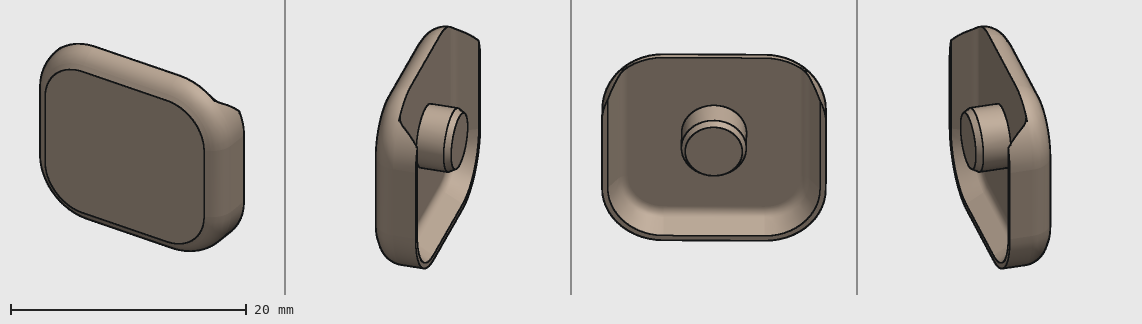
import cadquery as cq
import math

WIDTH = 19.0
HEIGHT = 17.0
CORNER_RADIUS = 5.2
CENTER_Z = -1.0
FRONT_DEPTH = 2.0
RIM_DEPTH = 2.0
EDGE_RADIUS = FRONT_DEPTH
EDGE_SWEEP = math.radians(60)

RIM_WIDTH = 0.5
WALL_SLOPE = 30.0
FLOOR_FILLET = 0.91

POST_DIAMETER = 5.51
POST_OVERHANG = 1.0
TIP_LENGTH = 0.57
POST_LENGTH = RIM_DEPTH + POST_OVERHANG
TIP_INSET = TIP_LENGTH * math.tan(math.radians(30))

HALF_WIDTH = WIDTH / 2
TOP_Z = CENTER_Z + HEIGHT / 2
BOTTOM_Z = CENTER_Z - HEIGHT / 2


def plane_at(y):
    """XZ sketch plane at the given Y, with extrusion toward -Y."""
    return cq.Workplane("XZ", origin=(0, y, 0))


def cap_outline(y, inset=0):
    """Rounded rectangle, starting beside the post axis on the +X side."""
    x = HALF_WIDTH - inset
    top = TOP_Z - inset
    bottom = BOTTOM_Z + inset
    radius = CORNER_RADIUS - inset
    bow = radius * (1 - math.sqrt(0.5))
    return (
        plane_at(y)
        .moveTo(x, 0)
        .lineTo(x, top - radius)
        .threePointArc((x - bow, top - bow), (x - radius, top))
        .lineTo(radius - x, top)
        .threePointArc((bow - x, top - bow), (-x, top - radius))
        .lineTo(-x, bottom + radius)
        .threePointArc((bow - x, bottom + bow), (radius - x, bottom))
        .lineTo(x - radius, bottom)
        .threePointArc((x - bow, bottom + bow), (x, bottom + radius))
        .close()
    )


def edge_point(angle):
    """X and Y on the rounding, turned by angle from the side of the cap."""
    x = HALF_WIDTH - EDGE_RADIUS * (1 - math.cos(angle))
    return x, -EDGE_RADIUS * math.sin(angle)


def make_front_edge():
    """Rounded edge with a straight strip to the front face, swept around the outline."""
    arc_end = edge_point(EDGE_SWEEP)
    strip_run = (FRONT_DEPTH + arc_end[1]) * math.tan(EDGE_SWEEP)
    inner_x = HALF_WIDTH - EDGE_RADIUS
    profile = (
        cq.Workplane("XY")
        .moveTo(inner_x, 0)
        .lineTo(HALF_WIDTH, 0)
        .threePointArc(edge_point(EDGE_SWEEP / 2), arc_end)
        .lineTo(arc_end[0] - strip_run, -FRONT_DEPTH)
        .lineTo(inner_x, -FRONT_DEPTH)
        .close()
    )
    return profile.sweep(cap_outline(0))


def make_recess():
    """Sloped U-shaped recess running out past the top of the cap."""
    x = HALF_WIDTH - RIM_WIDTH
    overshoot_z = TOP_Z + WIDTH / 2
    mid_z = (overshoot_z + BOTTOM_Z + RIM_WIDTH) / 2
    recess = (
        cq.Workplane("XZ", origin=(0, RIM_DEPTH, mid_z))
        .sketch()
        .rect(2 * x, overshoot_z - BOTTOM_Z - RIM_WIDTH)
        .vertices()
        .fillet(CORNER_RADIUS - RIM_WIDTH)
        .finalize()
        .extrude(RIM_DEPTH, taper=WALL_SLOPE)
    )
    return recess.faces("<Y").edges().fillet(FLOOR_FILLET)


def make_cap():
    core = cap_outline(0, EDGE_RADIUS).extrude(FRONT_DEPTH)
    rim = cap_outline(RIM_DEPTH).extrude(RIM_DEPTH)
    return core.union(make_front_edge()).union(rim).cut(make_recess())


def make_post():
    """Round post standing on the dish floor, with a tapered tip."""
    post = plane_at(0).circle(POST_DIAMETER / 2).extrude(-POST_LENGTH)
    return post.faces(">Y").edges().chamfer(TIP_LENGTH, TIP_INSET)


cap = make_cap()
post = make_post()
result = cq.Compound.makeCompound([cap.solids().val(), post.solids().val()])